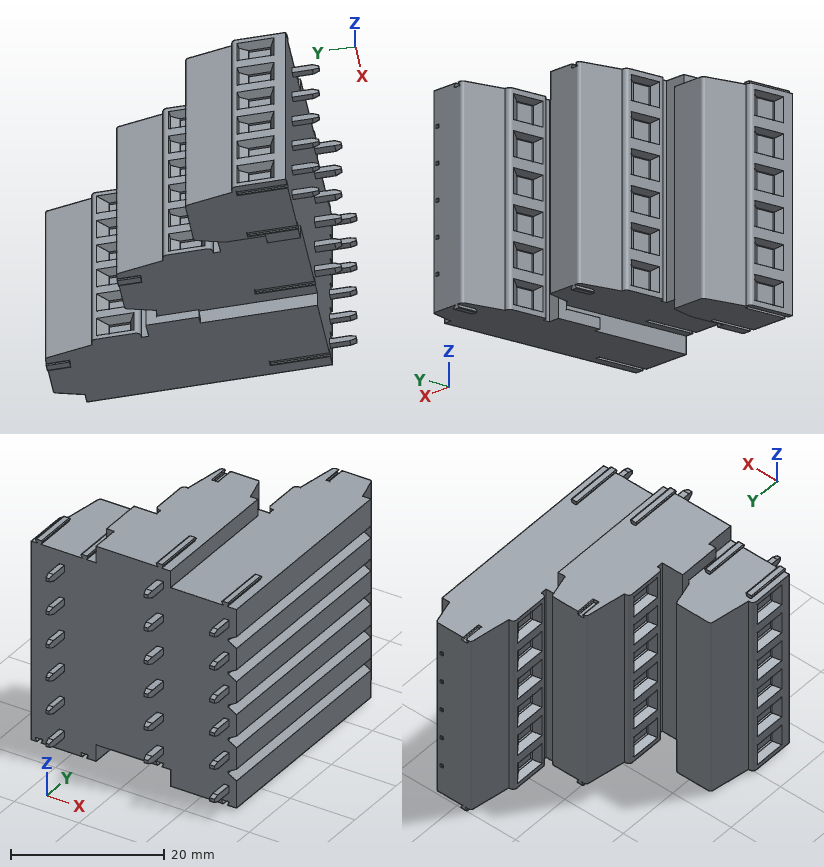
import cadquery as cq


PITCH = 5.08
POLES = 6
BODY_WIDTH = PITCH * POLES
STAGGER = PITCH / 2

FRONT, MIDDLE, REAR = range(3)
TIER_RISE = 11.45
TIER_FACES = (0.0, 11.55, 21.65)
LEDGED_TIERS = (FRONT, MIDDLE)
TIER_BASES = (0.0, STAGGER, 0.0)
BACK_X = 31.8

LIP_TOP = 7.3
LIP_BOTTOMS = {MIDDLE: 0.6, REAR: 0.7}
LIP_OVERHANG = 0.83
LIP_RADIUS = 0.65
HEAD_TOP = 13.75
HEAD_FRONT = 1.87
HEAD_REAR = 7.8
HEAD_RADIUS = 0.45
SHOULDER_X = 8.88
SHOULDER_Y = 9.8

FOOT_X = 10.05
FOOT_HEIGHT = 4.4
STEP_Y = 11.1
REAR_JOINT_X = 21.6
REAR_LEDGE_X = 20.6
REAR_LEDGE_BOTTOM = 15.6
REAR_LEDGE_TOP = 22.65
FRONT_RELIEF = (0.65, 1.15)
REAR_RELIEF = (0.98, 1.5)

WINDOW_BOTTOM = 1.55
WINDOW_TOPS = (6.45, 6.38, 6.55)
WINDOW_WIDTH = 3.56
WINDOW_TAPER_DEPTH = 1.1
WINDOW_DEPTH = 1.4
WINDOW_BOTTOM_INSET = 0.65
WINDOW_TOP_INSETS = (1.28, 1.28, 1.5)
WINDOW_SIDE_INSET = 0.47
WINDOW_LEAD_IN = ((0.8, 0.52), (0.6, 0.1))

DOVETAIL_HEIGHT = 0.575
DOVETAIL_WIDE = 1.12
DOVETAIL_NECK = 0.65
DOVETAIL_CHAMFER = (0.16, 0.1)
HEAD_DOVETAIL_NECK = 0.5
HEAD_DOVETAIL_LENGTH = 3.1
GROOVE_FLARE = 0.23

PIN_LENGTH = 3.5
PIN_TIP_LENGTH = 0.8
PIN_WIDTH_Z = 1.05
PIN_TIP_Z = 0.5
PIN_ROWS = ((4.77, 0.78, 0.5), (19.99, 1.0, 0.6), (30.25, 0.78, 0.78))
PIN_ROOT = 1.0

NOTCH_DEPTH = 1.3
NOTCH_HALF_WIDTH = 0.9
NOTCH_TIP_HALF_WIDTH = 0.12
NUB_X = 28.45
NUB_WIDTH = 0.45
NUB_HEIGHT = 0.15
SLOPE_NUB = ((7.7, 13.1), (8.22, 12.9), (8.35, 11.75), (7.7, 11.75))


def slab(points, z_bottom, z_top):
    """Closed XY outline extruded along Z."""
    return cq.Workplane("XY").workplane(offset=z_bottom).polyline(points).close().extrude(z_top - z_bottom)


def block(x, y, z):
    """Box from (start, end) pairs along each axis."""
    size = (x[1] - x[0], y[1] - y[0], z[1] - z[0])
    return cq.Workplane("XY").box(*size, centered=False).translate((x[0], y[0], z[0]))


def along_y(points, y_start, y_end):
    """Closed XZ outline extruded along Y."""
    return cq.Workplane("XZ", origin=(0, y_start, 0)).polyline(points).close().extrude(y_start - y_end)


def round_corner(solid, x, y, z, radius):
    """Fillet the Z-parallel edge through (x, y)."""
    return solid.edges("|Z").edges(cq.selectors.NearestToPointSelector((x, y, z))).fillet(radius)


def tier_body(tier, lower_outline):
    """Terminal head of one tier on top of the given outline of its lower part."""
    face = TIER_FACES[tier]
    rise = tier * TIER_RISE
    base = TIER_BASES[tier]
    corners = {
        (face, rise + LIP_TOP): LIP_RADIUS,
        (face + HEAD_FRONT, rise + HEAD_TOP): HEAD_RADIUS,
        (face + HEAD_REAR, rise + HEAD_TOP): HEAD_RADIUS,
    }
    front = [(face, rise + LIP_TOP), (face + LIP_OVERHANG, rise + LIP_TOP)]
    if tier in LIP_BOTTOMS:
        lip = (face, rise + LIP_BOTTOMS[tier])
        corners[lip] = LIP_RADIUS
        front = [(face + LIP_OVERHANG, rise + LIP_BOTTOMS[tier]), lip] + front
    head = [
        (face + HEAD_FRONT, rise + HEAD_TOP),
        (face + HEAD_REAR, rise + HEAD_TOP),
        (face + SHOULDER_X, rise + SHOULDER_Y),
    ]
    body = slab(lower_outline + front + head, base, base + BODY_WIDTH)
    for (x, y), radius in corners.items():
        body = round_corner(body, x, y, base + BODY_WIDTH / 2, radius)
    return body


def front_tier():
    outline = [(SHOULDER_X, FOOT_HEIGHT), (FOOT_X, FOOT_HEIGHT), (FOOT_X, 0), (0, 0)]
    return tier_body(FRONT, outline)


def middle_tier():
    outline = [
        (REAR_JOINT_X, TIER_RISE + SHOULDER_Y),
        (REAR_JOINT_X, 0),
        (FOOT_X, 0),
        (FOOT_X, FOOT_HEIGHT),
        (SHOULDER_X, FOOT_HEIGHT),
        (SHOULDER_X, STEP_Y),
        (TIER_FACES[MIDDLE] + LIP_OVERHANG, STEP_Y),
    ]
    relief = [
        (SHOULDER_X, BODY_WIDTH),
        (SHOULDER_X, BODY_WIDTH + FRONT_RELIEF[0]),
        (FOOT_X, BODY_WIDTH + FRONT_RELIEF[1]),
        (FOOT_X, BODY_WIDTH),
    ]
    return tier_body(MIDDLE, outline).cut(along_y(relief, FOOT_HEIGHT, SHOULDER_Y))


def rear_tier():
    ledge_seat = TIER_RISE + SHOULDER_Y
    outline = [
        (BACK_X, REAR * TIER_RISE + SHOULDER_Y),
        (BACK_X, 0),
        (REAR_JOINT_X, 0),
        (REAR_JOINT_X, REAR_LEDGE_BOTTOM),
        (REAR_LEDGE_X, REAR_LEDGE_BOTTOM),
        (REAR_LEDGE_X, REAR_LEDGE_TOP),
        (TIER_FACES[REAR] + LIP_OVERHANG, REAR_LEDGE_TOP),
    ]
    relief = [
        (REAR_LEDGE_X, BODY_WIDTH),
        (REAR_LEDGE_X, STAGGER - REAR_RELIEF[0]),
        (REAR_JOINT_X, STAGGER - REAR_RELIEF[1]),
        (REAR_JOINT_X, BODY_WIDTH),
    ]
    return tier_body(REAR, outline).cut(along_y(relief, REAR_LEDGE_BOTTOM, ledge_seat))


def pole_heights(tier):
    return [TIER_BASES[tier] + PITCH * (pole + 0.5) for pole in range(POLES)]


def window(tier, z_centre):
    """Funnel-shaped wire entry, tapering to a short straight pocket."""
    face = TIER_FACES[tier]
    bottom = tier * TIER_RISE + WINDOW_BOTTOM
    top = tier * TIER_RISE + WINDOW_TOPS[tier]
    taper_x = face + WINDOW_TAPER_DEPTH
    floor_x = face + WINDOW_DEPTH
    floor_bottom = bottom + WINDOW_BOTTOM_INSET
    floor_top = top - WINDOW_TOP_INSETS[tier]
    side = [
        (face, bottom),
        (taper_x, floor_bottom),
        (floor_x, floor_bottom),
        (floor_x, floor_top),
        (taper_x, floor_top),
    ]
    if tier in LEDGED_TIERS:
        side += [(face + depth, top - inset) for depth, inset in WINDOW_LEAD_IN]
    side.append((face, top))
    half = WINDOW_WIDTH / 2
    floor_half = half - WINDOW_SIDE_INSET
    plan = [
        (face, z_centre - half),
        (taper_x, z_centre - floor_half),
        (floor_x, z_centre - floor_half),
        (floor_x, z_centre + floor_half),
        (taper_x, z_centre + floor_half),
        (face, z_centre + half),
    ]
    return slab(side, z_centre - half, z_centre + half).intersect(along_y(plan, bottom, top))


def dovetail(x_centre, z_root, direction, neck_width, y_start, y_end):
    """Bar along Y, narrow at z_root, widening along Z and chamfered at its far corners."""
    neck = neck_width / 2
    wide = DOVETAIL_WIDE / 2
    chamfer_x, chamfer_z = DOVETAIL_CHAMFER
    z_wide = z_root + direction * (DOVETAIL_HEIGHT - chamfer_z)
    z_end = z_root + direction * DOVETAIL_HEIGHT
    outline = [
        (x_centre - neck, z_root),
        (x_centre + neck, z_root),
        (x_centre + wide, z_wide),
        (x_centre + wide - chamfer_x, z_end),
        (x_centre - wide + chamfer_x, z_end),
        (x_centre - wide, z_wide),
    ]
    return along_y(outline, y_start, y_end)


def groove_mouth(x_centre, z_face, y_start, y_end):
    """Flared mouth of a head groove opening in the +Z side."""
    inner = HEAD_DOVETAIL_NECK / 2
    outer = inner + GROOVE_FLARE
    outline = [
        (x_centre - outer, z_face),
        (x_centre - inner, z_face - GROOVE_FLARE),
        (x_centre + inner, z_face - GROOVE_FLARE),
        (x_centre + outer, z_face),
    ]
    return along_y(outline, y_start, y_end)


def pin(x_centre, z_centre, width, tip_width):
    """Rectangular solder pin with a tapered tip."""
    shank_end = PIN_TIP_LENGTH - PIN_LENGTH
    shank = block(
        (x_centre - width / 2, x_centre + width / 2),
        (shank_end, PIN_ROOT),
        (z_centre - PIN_WIDTH_Z / 2, z_centre + PIN_WIDTH_Z / 2),
    )
    tip = (
        cq.Workplane("XZ", origin=(x_centre, shank_end, z_centre))
        .rect(width, PIN_WIDTH_Z)
        .workplane(offset=PIN_TIP_LENGTH)
        .rect(tip_width, PIN_TIP_Z)
        .loft(ruled=True)
    )
    return shank.union(tip)


def rear_notch(z_centre):
    """V-shaped notch running the full height of the rear wall."""
    tip_x = BACK_X - NOTCH_DEPTH
    outline = [
        (BACK_X, z_centre - NOTCH_HALF_WIDTH),
        (tip_x, z_centre - NOTCH_TIP_HALF_WIDTH),
        (tip_x, z_centre + NOTCH_TIP_HALF_WIDTH),
        (BACK_X, z_centre + NOTCH_HALF_WIDTH),
    ]
    return along_y(outline, 0, REAR * TIER_RISE + SHOULDER_Y)


def top_nub(z_centre):
    """Small block standing out of the top of the rear head."""
    top = REAR * TIER_RISE + HEAD_TOP
    half = NUB_WIDTH / 2
    return block(
        (NUB_X - half, NUB_X + half),
        (top - half, top + NUB_HEIGHT),
        (z_centre - half, z_centre + half),
    )


def slope_nub(tier, z_centre):
    """Small wedge standing out of the rear slope of a head."""
    face = TIER_FACES[tier]
    rise = tier * TIER_RISE
    outline = [(face + x, rise + y) for x, y in SLOPE_NUB]
    return slab(outline, z_centre - NUB_WIDTH / 2, z_centre + NUB_WIDTH / 2)


BASE_DOVETAILS = ((FRONT, 1.2, 6.75), (FRONT, 8.25, 6.75), (MIDDLE, 19.92, 8.0), (REAR, 30.07, 8.0))
HEAD_DOVETAILS = ((MIDDLE, 14.4, 14.5), (REAR, 24.6, 24.7))

result = front_tier().union(middle_tier()).union(rear_tier())

for tier, (x, width, tip_width) in enumerate(PIN_ROWS):
    for z in pole_heights(tier):
        result = result.cut(window(tier, z)).union(pin(x, z, width, tip_width))

for tier, x, length in BASE_DOVETAILS:
    base = TIER_BASES[tier]
    result = result.union(dovetail(x, base + BODY_WIDTH, 1, DOVETAIL_NECK, 0, length))
    result = result.cut(dovetail(x, base, 1, DOVETAIL_NECK, 0, length))

for tier, groove_x, rib_x in HEAD_DOVETAILS:
    base = TIER_BASES[tier]
    top = tier * TIER_RISE + HEAD_TOP
    bottom = top - HEAD_DOVETAIL_LENGTH
    result = result.cut(dovetail(groove_x, base + BODY_WIDTH, -1, HEAD_DOVETAIL_NECK, bottom, top))
    result = result.union(dovetail(rib_x, base, -1, HEAD_DOVETAIL_NECK, bottom, top))
    if tier == MIDDLE:
        result = result.cut(groove_mouth(groove_x, base + BODY_WIDTH, bottom, top))

for pole in range(1, POLES):
    result = result.cut(rear_notch(pole * PITCH)).union(top_nub(pole * PITCH))
    for tier in LEDGED_TIERS:
        result = result.union(slope_nub(tier, TIER_BASES[tier] + pole * PITCH))